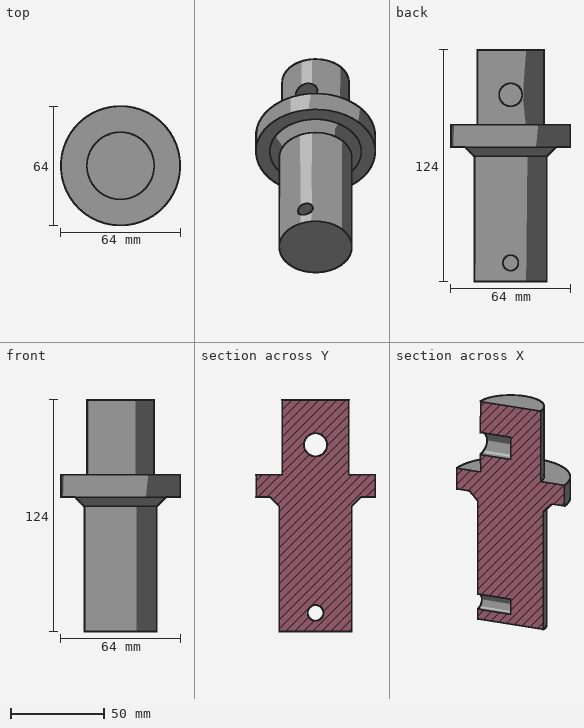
import cadquery as cq

total_height = 124.0
shank_diameter = 39.0
flange_diameter = 64.0
flange_thickness = 12.0
spigot_diameter = 36.0
spigot_length = 40.0
collar_size = 5.0

spigot_hole_diameter = 12.3
spigot_hole_above_flange = 16.0
shank_hole_diameter = 8.3
shank_hole_height = 10.0

shank_radius = shank_diameter / 2
flange_radius = flange_diameter / 2
spigot_radius = spigot_diameter / 2
collar_radius = shank_radius + collar_size
flange_top = total_height - spigot_length
flange_bottom = flange_top - flange_thickness
collar_bottom = flange_bottom - collar_size
spigot_hole_height = flange_top + spigot_hole_above_flange


def make_turned_body():
    """Shank, conical collar, flange and spigot, revolved from one half profile."""
    profile = (
        cq.Workplane("XZ")
        .moveTo(0, 0)
        .lineTo(shank_radius, 0)
        .lineTo(shank_radius, collar_bottom)
        .lineTo(collar_radius, flange_bottom)
        .lineTo(flange_radius, flange_bottom)
        .lineTo(flange_radius, flange_top)
        .lineTo(spigot_radius, flange_top)
        .lineTo(spigot_radius, total_height)
        .lineTo(0, total_height)
        .close()
    )
    return profile.revolve(360, (0, 0, 0), (0, 1, 0))


def make_radial_hole(diameter, height, surface_radius):
    """Cutter running along +Y from the part's axis to the surrounding surface."""
    axis_point = cq.Vector(0, 0, height)
    outward = cq.Vector(0, 1, 0)
    return cq.Solid.makeCylinder(diameter / 2, surface_radius, axis_point, outward)


body = make_turned_body()
spigot_hole = make_radial_hole(spigot_hole_diameter, spigot_hole_height, spigot_radius)
shank_hole = make_radial_hole(shank_hole_diameter, shank_hole_height, shank_radius)

result = body.cut(cq.Workplane(spigot_hole)).cut(cq.Workplane(shank_hole))